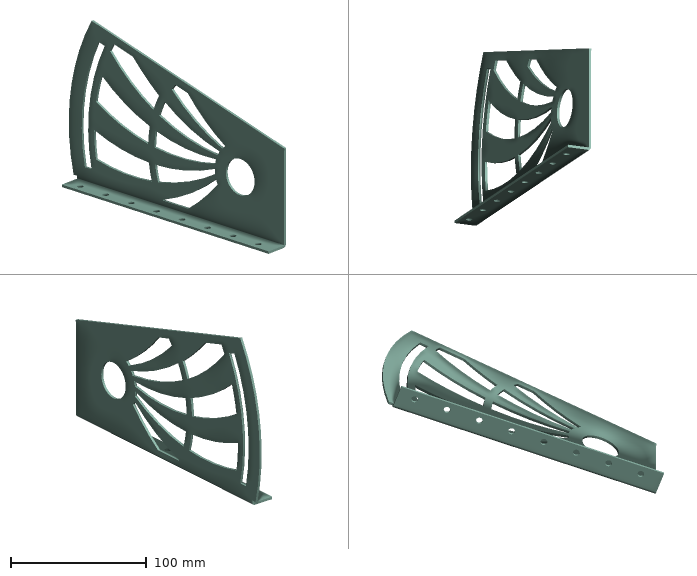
import cadquery as cq
import math

overall_length = 215.5
overall_depth = 18.8
thickness = 2.0
bend_inner_radius = 0.5
bend_outer_radius = bend_inner_radius + thickness

rim_radius = 171.3
right_x = overall_length - rim_radius
plate_bottom_z = -40.5
top_corner_z = 85.3
top_slope = math.radians(15)
lip_length = 0.5
lip_height = 1.5
bore_diameter = 28.7

slot_outer_radius = 158.5
slot_inner_radius = 152.0
slot_top_margin = 12.5
slot_bottom_z = -31.7

window_outer_radius = 146.0
window_inner_radius = 25.5
rib_outer_radius = 92.0
rib_inner_radius = 85.8
blade_sag = 11.9
blade_pitch = 9
window_start_angles = [-27, -9, 9, 27, 45]
window_top_margin = 6.5
window_bottom_z = -38.1

flat_edge_upper_end = (-107.8, 68.0)
flat_edge_middle = (-95.5, 55.5)
flat_edge_lower_end = (-81.3, 43.5)

flange_bottom_z = -44.6
flange_left_x = -163.0
flange_right_x = right_x - lip_length
flange_hole_diameter = 5.0
flange_hole_count = 8
flange_hole_pitch = 25.5
first_hole_inset = 12.7
hole_front_inset = 6.3

top_corner_x = -math.sqrt(rim_radius**2 - top_corner_z**2)


def top_edge_z(x, margin=0.0):
    """Height of the line parallel to the sloping top edge, a margin below it."""
    edge_z = top_corner_z - (x - top_corner_x) * math.tan(top_slope)
    return edge_z - margin / math.cos(top_slope)


def extrude_plate(sketch):
    """Extrude an XZ outline forward from the back face through the plate."""
    return sketch.extrude(thickness)


def disc(radius):
    return extrude_plate(cq.Workplane("XZ").circle(radius))


def ring(outer_radius, inner_radius):
    return disc(outer_radius).cut(disc(inner_radius))


def bounded_area(top_margin, bottom_z):
    """Area between a line below the top edge and a horizontal line."""
    return extrude_plate(
        cq.Workplane("XZ")
        .moveTo(-rim_radius, bottom_z)
        .lineTo(right_x, bottom_z)
        .lineTo(right_x, top_edge_z(right_x, top_margin))
        .lineTo(-rim_radius, top_edge_z(-rim_radius, top_margin))
        .close()
    )


def fan_point(along, across, angle):
    """Point given along and above a ray that rises to the left at an angle in degrees."""
    turn = math.radians(angle)
    x = -along * math.cos(turn) + across * math.sin(turn)
    z = along * math.sin(turn) + across * math.cos(turn)
    return x, z


def fan_window(lower_angle):
    """Opening between two bowed blade edges, with ends concentric to the bore."""
    upper_angle = lower_angle + blade_pitch
    middle_angle = lower_angle + blade_pitch / 2
    middle_radius = (window_outer_radius + window_inner_radius) / 2
    return extrude_plate(
        cq.Workplane("XZ")
        .moveTo(*fan_point(window_inner_radius, 0, lower_angle))
        .threePointArc(
            fan_point(middle_radius, -blade_sag, lower_angle),
            fan_point(window_outer_radius, 0, lower_angle),
        )
        .threePointArc(
            fan_point(window_outer_radius, 0, middle_angle),
            fan_point(window_outer_radius, 0, upper_angle),
        )
        .threePointArc(
            fan_point(middle_radius, -blade_sag, upper_angle),
            fan_point(window_inner_radius, 0, upper_angle),
        )
        .threePointArc(
            fan_point(window_inner_radius, 0, middle_angle),
            fan_point(window_inner_radius, 0, lower_angle),
        )
        .close()
    )


def flat_edge_backing():
    """Material kept above the flatter edge, reaching up to the plate's top edge."""
    upper_x = flat_edge_upper_end[0]
    lower_x = flat_edge_lower_end[0]
    return extrude_plate(
        cq.Workplane("XZ")
        .moveTo(*flat_edge_upper_end)
        .threePointArc(flat_edge_middle, flat_edge_lower_end)
        .lineTo(lower_x, top_edge_z(lower_x))
        .lineTo(upper_x, top_edge_z(upper_x))
        .close()
    )


def fan_plate():
    lip_bottom_z = top_edge_z(right_x) - lip_height
    plate = extrude_plate(
        cq.Workplane("XZ")
        .moveTo(-math.sqrt(rim_radius**2 - plate_bottom_z**2), plate_bottom_z)
        .threePointArc((-rim_radius, 0), (top_corner_x, top_corner_z))
        .lineTo(right_x, top_edge_z(right_x))
        .lineTo(right_x, lip_bottom_z)
        .lineTo(flange_right_x, lip_bottom_z)
        .lineTo(flange_right_x, plate_bottom_z)
        .close()
    )
    plate = plate.cut(disc(bore_diameter / 2))

    slot = ring(slot_outer_radius, slot_inner_radius)
    left_half = cq.Workplane("XY").box(2 * rim_radius, 2 * rim_radius, 2 * rim_radius)
    left_half = left_half.translate((-rim_radius, 0, 0))
    slot = slot.intersect(left_half)
    plate = plate.cut(slot.intersect(bounded_area(slot_top_margin, slot_bottom_z)))

    window_area = bounded_area(window_top_margin, window_bottom_z)
    window_area = window_area.cut(ring(rib_outer_radius, rib_inner_radius))
    window_area = window_area.cut(flat_edge_backing())
    short_window_area = window_area.intersect(disc(rib_inner_radius))
    for angle in window_start_angles:
        area = short_window_area if angle == max(window_start_angles) else window_area
        plate = plate.cut(fan_window(angle).intersect(area))
    return plate


def mounting_flange():
    """Bent L profile, from the plate's lower edge to the flange's front edge."""
    flange_top_z = flange_bottom_z + thickness
    diagonal = math.sqrt(0.5)
    bend_y = -bend_outer_radius
    bend_z = flange_bottom_z + bend_outer_radius
    flange = (
        cq.Workplane("YZ", origin=(flange_left_x, 0, 0))
        .moveTo(0, plate_bottom_z)
        .lineTo(0, bend_z)
        .threePointArc(
            (bend_y + bend_outer_radius * diagonal, bend_z - bend_outer_radius * diagonal),
            (bend_y, flange_bottom_z),
        )
        .lineTo(-overall_depth, flange_bottom_z)
        .lineTo(-overall_depth, flange_top_z)
        .lineTo(bend_y, flange_top_z)
        .threePointArc(
            (bend_y + bend_inner_radius * diagonal, bend_z - bend_inner_radius * diagonal),
            (-thickness, bend_z),
        )
        .lineTo(-thickness, plate_bottom_z)
        .close()
        .extrude(flange_right_x - flange_left_x)
    )
    hole_y = hole_front_inset - overall_depth
    hole_centers = [
        (flange_left_x + first_hole_inset + index * flange_hole_pitch, hole_y)
        for index in range(flange_hole_count)
    ]
    holes = (
        cq.Workplane("XY", origin=(0, 0, flange_bottom_z))
        .pushPoints(hole_centers)
        .circle(flange_hole_diameter / 2)
        .extrude(thickness)
    )
    return flange.cut(holes)


result = fan_plate().union(mounting_flange())